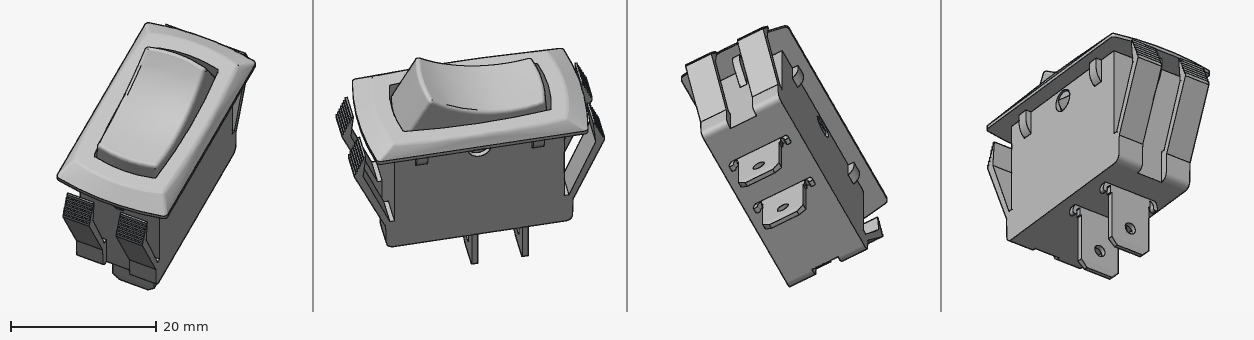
import cadquery as cq
import math


body_width = 12.06
body_length = 23.9
body_bottom = -18.46
half_length = body_length / 2

bezel_top = 2.0
lip_height = 0.55
lip_corner = (8.35, 14.8)
lip_end = 15.73
top_corner = (6.75, 12.15)
top_side = 7.48
top_end = 13.3
bezel_corner_round = 0.6
bezel_edge_round = 0.9

opening_corner = (4.66, 10.38)
opening_side = 5.25
opening_end = 11.0
opening_corner_round = 0.4
opening_floor = -5.5

pivot_z = -1.95
pivot_hole_diameter = 3.2
pin_diameter = 2.95
pin_half_length = 5.85
pin_bevel_start = 0.47
pin_bevel_depth = 1.0

rocker_tilt = 12.0
rocker_base_corner = (4.5, 10.38)
rocker_base_end = 10.88
rocker_top_corner = (4.65, 7.68)
rocker_side = 4.88
wall_slope = 0.28
rocker_blank_height = 9.0
dish_height = 5.38
dish_radius = 18.9
dish_cross_radius = 65.0
dish_half_width = 6.0
rocker_edge_round = 0.5
hub_half_length = 2.2
hub_depth = 2.1
hub_width = 9.4

clip_inner_x = 2.03
clip_outer_x = body_width / 2
clip_top = -0.44
clip_tip_inner = 16.0
clip_tip_outer = 16.3
clip_reach = 17.6
clip_knee_inner = (16.36, -4.1)
clip_knee_z = -3.96
clip_root_inner = (12.6, -13.53)
clip_root_outer = (13.2, -14.42)
clip_foot = 13.08
clip_foot_round = 1.0
tooth_count = 7

end_rib_width = 1.05
end_rib_reach = 14.17
end_rib_knee_z = -1.89
end_rib_bottom = -5.72
end_rib_round = 4.0
side_rib_width = 1.58
side_rib_y = 8.2
side_rib_reach = 6.91
side_rib_arc_start = -1.43
side_rib_bottom = -3.5

terminal_y = (0.0, -7.1)
terminal_thickness = 0.8
terminal_tip_thickness = 0.6
terminal_width = 6.3
terminal_bottom = -27.92
terminal_bevel = 1.0
terminal_hole_diameter = 1.7
terminal_hole_z = -24.45
shoulder_half_width = 3.36
shoulder_bottom = -19.8
barb_bottom = -19.95
barb_outer_x = 4.62
barb_tip_width = 0.7
barb_root_outer_x = 4.25
barb_root_inner_z = -18.75
barb_bend_z = -18.95
barb_bend_x = (3.72, 4.48)


def bowed_outline(plane, corner, side, end):
    """Four-sided outline whose sides and ends bow out to the given reach."""
    x, y = corner
    wire = plane.moveTo(x, -y)
    wire = wire.lineTo(x, y) if side == x else wire.threePointArc((side, 0), (x, y))
    wire = wire.threePointArc((0, end), (-x, y))
    wire = wire.lineTo(-x, -y) if side == x else wire.threePointArc((-side, 0), (-x, -y))
    return wire.threePointArc((0, -end), (x, -y)).close()


def make_bezel():
    lip = bowed_outline(cq.Workplane("XY"), lip_corner, lip_corner[0], lip_end).extrude(lip_height)
    base = cq.Workplane("XY").workplane(offset=lip_height)
    slope = bowed_outline(base, lip_corner, lip_corner[0], lip_end)
    slope = slope.workplane(offset=bezel_top - lip_height)
    slope = bowed_outline(slope, top_corner, top_side, top_end).loft(ruled=True)
    bezel = lip.union(slope)
    bezel = bezel.edges("not (<Z or >Z or #Z or %CIRCLE)").fillet(bezel_corner_round)
    return bezel.faces(">Z").edges().fillet(bezel_edge_round)


def make_clip(x_start, end_sign):
    """Bent spring clip with a stepped grip; end_sign picks the +Y or -Y end."""
    riser = (clip_top - clip_knee_z) / tooth_count
    ledge = (clip_reach - clip_tip_outer) / (tooth_count - 1)
    points = [(half_length, body_bottom), (half_length, clip_root_inner[1])]
    points += [clip_root_inner, clip_knee_inner, (clip_tip_inner, clip_top)]
    for tooth in range(tooth_count):
        y = clip_tip_outer + tooth * ledge
        points.append((y, clip_top - tooth * riser))
        points.append((y, clip_top - (tooth + 1) * riser))
    points += [clip_root_outer, (clip_foot, body_bottom)]
    width = clip_outer_x - clip_inner_x
    clip = cq.Workplane("YZ").polyline(points).close().extrude(width)
    foot_edge = cq.selectors.NearestToPointSelector((width / 2, clip_foot, body_bottom))
    clip = clip.edges(foot_edge).fillet(clip_foot_round).translate((x_start, 0, 0))
    return clip if end_sign > 0 else clip.mirror("XZ")


def make_end_rib(end_sign):
    points = [(0, 0), (end_rib_reach, 0), (end_rib_reach, end_rib_knee_z)]
    points += [(half_length, end_rib_bottom), (0, end_rib_bottom)]
    rib = cq.Workplane("YZ").polyline(points).close().extrude(end_rib_width / 2, both=True)
    knee = cq.selectors.NearestToPointSelector((0, end_rib_reach, end_rib_knee_z))
    rib = rib.edges(knee).fillet(end_rib_round)
    return rib if end_sign > 0 else rib.mirror("XZ")


def make_side_rib(y, side_sign):
    """Rib on a long side; its lower edge curves back to the body."""
    drop = side_rib_arc_start - side_rib_bottom
    reach = side_rib_reach - body_width / 2
    radius = (drop**2 + reach**2) / (2 * reach)
    half_angle = math.asin(drop / radius) / 2
    arc_middle = (
        side_rib_reach - radius * (1 - math.cos(half_angle)),
        side_rib_arc_start - radius * math.sin(half_angle),
    )
    rib = cq.Workplane("XZ").moveTo(body_width / 2, 0).lineTo(side_rib_reach, 0)
    rib = rib.lineTo(side_rib_reach, side_rib_arc_start)
    rib = rib.threePointArc(arc_middle, (body_width / 2, side_rib_bottom)).close()
    rib = rib.extrude(side_rib_width / 2, both=True).translate((0, y, 0))
    return rib if side_sign > 0 else rib.mirror("YZ")


def make_barb():
    """Curved retaining finger beside the terminal on the +X side."""
    tip_radius = barb_tip_width / 2
    tip_z = barb_bottom + tip_radius
    barb = cq.Workplane("XZ").moveTo(shoulder_half_width, body_bottom)
    barb = barb.lineTo(barb_root_outer_x, body_bottom)
    barb = barb.threePointArc((barb_bend_x[1], barb_bend_z), (barb_outer_x, tip_z))
    barb = barb.threePointArc((barb_outer_x - tip_radius, barb_bottom), (barb_outer_x - barb_tip_width, tip_z))
    barb = barb.threePointArc((barb_bend_x[0], barb_bend_z), (shoulder_half_width, barb_root_inner_z)).close()
    return barb.extrude(terminal_thickness / 2, both=True)


def make_terminal(y):
    half = terminal_width / 2
    bevel_z = terminal_bottom + terminal_bevel
    points = [(-shoulder_half_width, body_bottom), (shoulder_half_width, body_bottom)]
    points += [(shoulder_half_width, shoulder_bottom), (half, shoulder_bottom), (half, bevel_z)]
    points += [(half - terminal_bevel, terminal_bottom), (terminal_bevel - half, terminal_bottom)]
    points += [(-half, bevel_z), (-half, shoulder_bottom), (-shoulder_half_width, shoulder_bottom)]
    blade = cq.Workplane("XZ").polyline(points).close().extrude(terminal_thickness / 2, both=True)
    tip_bevel = (terminal_thickness - terminal_tip_thickness) / 2
    blade = blade.faces("<Z").edges("|X").chamfer(terminal_bevel, tip_bevel)
    hole = cq.Workplane("XZ").center(0, terminal_hole_z).circle(terminal_hole_diameter / 2)
    blade = blade.cut(hole.extrude(terminal_thickness, both=True))
    barb = make_barb()
    return blade.union(barb).union(barb.mirror("YZ")).translate((0, y, 0))


def make_housing():
    body = cq.Workplane("XY").rect(body_width, body_length).extrude(body_bottom)
    body = body.union(make_bezel())
    for end_sign in (1, -1):
        body = body.union(make_end_rib(end_sign))
        for side_sign in (1, -1):
            body = body.union(make_side_rib(end_sign * side_rib_y, side_sign))
    for y in terminal_y:
        body = body.union(make_terminal(y))
    opening = cq.Workplane("XY").workplane(offset=opening_floor)
    opening = bowed_outline(opening, opening_corner, opening_side, opening_end)
    opening = opening.extrude(bezel_top - opening_floor).edges("|Z").fillet(opening_corner_round)
    pivot_hole = cq.Workplane("YZ").center(0, pivot_z).circle(pivot_hole_diameter / 2)
    body = body.cut(opening).cut(pivot_hole.extrude(body_width, both=True))
    for end_sign in (1, -1):
        for x_start in (clip_inner_x, -clip_outer_x):
            body = body.union(make_clip(x_start, end_sign), clean=False)
    return body


def make_dish_cutter():
    """Barrel lying along X whose underside hollows the rocker's top."""
    axis_z = dish_height + dish_radius
    shrink = dish_cross_radius - math.sqrt(dish_cross_radius**2 - dish_half_width**2)
    rim_z = dish_height + shrink
    barrel = cq.Workplane("XZ").moveTo(-dish_half_width, axis_z).lineTo(-dish_half_width, rim_z)
    barrel = barrel.threePointArc((0, dish_height), (dish_half_width, rim_z))
    barrel = barrel.lineTo(dish_half_width, axis_z).close()
    return barrel.revolve(360, (-dish_half_width, axis_z), (dish_half_width, axis_z))


def make_pins():
    """Pivot pin through the rocker, its ends bevelled below to snap in."""
    pin_radius = pin_diameter / 2
    pin = cq.Workplane("YZ").circle(pin_radius).extrude(pin_half_length, both=True)
    points = [(pin_half_length, pin_bevel_start), (pin_half_length, -pin_radius)]
    points += [(pin_half_length - pin_bevel_depth, -pin_radius)]
    bevel = cq.Workplane("XZ").polyline(points).close().extrude(pin_diameter, both=True)
    return pin.cut(bevel).cut(bevel.mirror("YZ"))


def make_rocker():
    blank = bowed_outline(cq.Workplane("XY"), rocker_base_corner, rocker_side, rocker_base_end)
    blank = blank.workplane(offset=rocker_blank_height)
    top_end_reach = rocker_base_end - wall_slope * rocker_blank_height
    blank = bowed_outline(blank, rocker_top_corner, rocker_side, top_end_reach).loft(ruled=True)
    blank = blank.edges("not (<Z or >Z)").fillet(rocker_edge_round)
    rocker = blank.cut(make_dish_cutter())
    dish = rocker.faces(cq.selectors.NearestToPointSelector((0, 0, dish_height)))
    rocker = dish.edges().fillet(rocker_edge_round)
    hub = cq.Workplane("XY").rect(hub_width, 2 * hub_half_length).extrude(-hub_depth)
    rocker = rocker.union(hub).union(make_pins())
    return rocker.rotate((0, 0, 0), (1, 0, 0), rocker_tilt).translate((0, 0, pivot_z))


housing = make_housing()
rocker = make_rocker()
result = cq.Compound.makeCompound([housing.solids().val(), rocker.solids().val()])